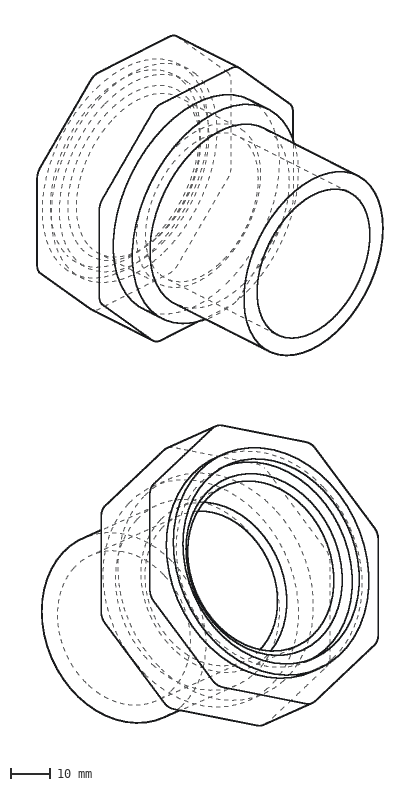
import cadquery as cq

length = 68.0
nut_start = 3.2
nut_end = 25.7
collar_end = 32.55
cone_end = 34.1

nut_sides = 8
nut_width = 70.0
nut_corner_radius = 4.2
collar_radius = 29.95
pipe_radius = 25.1

seat_radius = 27.0
seat_depth = 3.2
mouth_radius = 23.95
mouth_taper_length = 1.55
bore_radius = 22.4
bore_end = 26.45
shoulder_length = 1.2
through_radius = 20.4


def revolve_about_x(points):
    """Revolve an (x, radius) outline around the X axis."""
    return cq.Workplane("XY").polyline(points).close().revolve(360, (0, 0, 0), (1, 0, 0))


def make_body():
    """Wide collar tapering steeply down to the pipe end."""
    return revolve_about_x([
        (0, 0),
        (0, collar_radius),
        (collar_end, collar_radius),
        (cone_end, pipe_radius),
        (length, pipe_radius),
        (length, 0),
    ])


def make_nut():
    """Octagonal grip with rounded corners and flats facing Y and Z."""
    return (
        cq.Workplane("YZ", origin=(nut_start, 0, 0))
        .polygon(nut_sides, nut_width, circumscribed=True)
        .extrude(nut_end - nut_start)
        .edges("|X")
        .fillet(nut_corner_radius)
    )


def make_bore():
    """Flat seat, tapered mouth and main bore narrowing to the through hole."""
    mouth_end = seat_depth + mouth_taper_length
    return revolve_about_x([
        (0, 0),
        (0, seat_radius),
        (seat_depth, seat_radius),
        (seat_depth, mouth_radius),
        (mouth_end, bore_radius),
        (bore_end, bore_radius),
        (bore_end + shoulder_length, through_radius),
        (length, through_radius),
        (length, 0),
    ])


result = make_body().union(make_nut()).cut(make_bore())